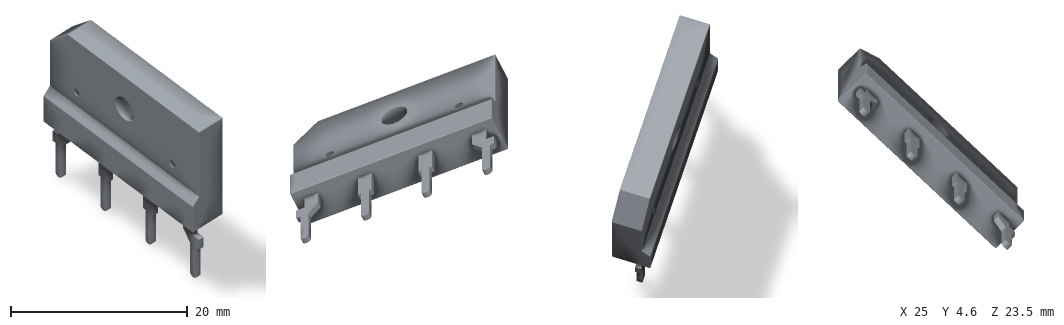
import cadquery as cq

body_length = 25.0
body_height = 15.0
foot_depth = 4.6
upper_depth = 3.6
foot_height = 4.0
ramp_height = 1.0
corner_cut = 3.0
edge_round = 0.088

hole_diameter = 3.2
hole_drop = 5.0
dimple_diameter = 1.0
dimple_depth = 0.2
dimple_offset = 8.0
dimple_drop = 8.0

lead_pitch = 7.5
lead_drop = 8.5
lead_thickness = 0.7
lead_setback = 1.2
lead_embed = 0.5
pin_width = 1.0
pin_tip_round = 0.45
shoulder_width = 1.7
shoulder_drop = 3.55
tab_drop = 2.0
tab_reach = 1.0
gusset_drop = 3.5

upper_front = foot_depth - upper_depth
step_top = foot_height + ramp_height
half_pin = pin_width / 2
half_shoulder = shoulder_width / 2
inner_offset = lead_pitch / 2
outer_offset = inner_offset + lead_pitch


def make_body():
    """Stepped block with one cut corner and lightly rounded outer edges."""
    side_profile = [
        (0, 0),
        (foot_depth, 0),
        (foot_depth, body_height),
        (upper_front, body_height),
        (upper_front, step_top),
        (0, foot_height),
    ]
    body = cq.Workplane("YZ").polyline(side_profile).close().extrude(body_length / 2, both=True)
    body = body.edges("<X and >Z").chamfer(corner_cut)
    inner_corner = cq.selectors.NearestToPointSelector((0, upper_front, step_top))
    return body.edges(cq.selectors.InverseSelector(inner_corner)).fillet(edge_round)


def bore(diameter, depth, x, drop):
    """Cutter entering the upper front face, placed by its drop below the body top."""
    plane = cq.Workplane("XZ", origin=(x, upper_front, body_height - drop))
    return plane.circle(diameter / 2).extrude(-depth)


def make_lead(outline):
    """Flat lead cut from sheet, with the tip of its pin rounded."""
    plane = cq.Workplane("XZ", origin=(0, lead_setback, 0))
    lead = plane.polyline(outline).close().extrude(-lead_thickness)
    return lead.edges("|Y and <Z").fillet(pin_tip_round)


def make_inner_lead():
    """Straight lead on X = 0 whose wide shoulder steps down to the pin."""
    return make_lead([
        (-half_shoulder, lead_embed),
        (half_shoulder, lead_embed),
        (half_shoulder, -shoulder_drop),
        (half_pin, -shoulder_drop),
        (half_pin, -lead_drop),
        (-half_pin, -lead_drop),
        (-half_pin, -shoulder_drop),
        (-half_shoulder, -shoulder_drop),
    ])


def make_outer_lead():
    """Left-hand lead with its pin on X = 0: shoulder set inwards, tab outwards."""
    return make_lead([
        (0, lead_embed),
        (shoulder_width, lead_embed),
        (shoulder_width, -tab_drop),
        (half_pin, -gusset_drop),
        (half_pin, -lead_drop),
        (-half_pin, -lead_drop),
        (-half_pin, -shoulder_drop),
        (-tab_reach, -shoulder_drop),
        (-tab_reach, -tab_drop),
        (0, -tab_drop),
    ])


result = make_body().cut(bore(hole_diameter, upper_depth, 0, hole_drop))
for dimple_x in (-dimple_offset, dimple_offset):
    result = result.cut(bore(dimple_diameter, dimple_depth, dimple_x, dimple_drop))

inner_lead = make_inner_lead()
left_outer_lead = make_outer_lead().translate((-outer_offset, 0, 0))
for inner_x in (-inner_offset, inner_offset):
    result = result.union(inner_lead.translate((inner_x, 0, 0)))
result = result.union(left_outer_lead).union(left_outer_lead.mirror("YZ"))